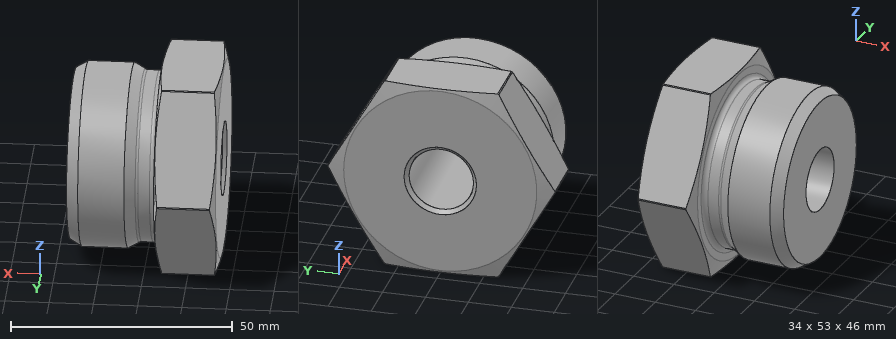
import cadquery as cq
import math

total_length = 34.0
across_flats = 46.0
corner_diameter = 52.95

head_length = 14.05
head_face_diameter = 45.0
head_chamfer_angle = 15.0

spigot_diameter = 42.05
neck_diameter = 38.9
neck_fillet = 1.15
spigot_start = 20.85
taper_angle = 30.0

bore_diameter = 15.0
bore_mouth_diameter = 16.85
bore_chamfer_angle = 45.0


def revolve_about_x(profile):
    """Turn a closed (x, radius) profile into a solid around the X axis."""
    return profile.close().revolve(360, (0, 0, 0), (1, 0, 0))


def hexagonal_head():
    """Hexagon with flats facing +Z and -Z, and both ends chamfered by a cone."""
    hexagon_diameter = across_flats / math.cos(math.radians(30))
    prism = cq.Workplane("YZ").polygon(6, hexagon_diameter).extrude(head_length)
    face_radius = head_face_diameter / 2
    corner_radius = corner_diameter / 2
    chamfer = (corner_radius - face_radius) * math.tan(math.radians(head_chamfer_angle))
    envelope = revolve_about_x(
        cq.Workplane("XY")
        .lineTo(0, face_radius)
        .lineTo(chamfer, corner_radius)
        .lineTo(head_length - chamfer, corner_radius)
        .lineTo(head_length, face_radius)
        .lineTo(head_length, 0)
    )
    return prism.intersect(envelope)


def spigot():
    """Undercut neck with fillets at both ends, then a cylinder with a tapered tip."""
    neck_radius = neck_diameter / 2
    spigot_radius = spigot_diameter / 2
    taper = math.radians(taper_angle)
    taper_length = (spigot_radius - neck_radius) / math.tan(taper)
    neck_end = spigot_start - taper_length - neck_fillet * math.tan(taper / 2)
    fillet_end = (
        neck_end + neck_fillet * math.sin(taper),
        neck_radius + neck_fillet * (1 - math.cos(taper)),
    )
    return revolve_about_x(
        cq.Workplane("XY")
        .moveTo(head_length / 2, 0)
        .lineTo(head_length / 2, neck_radius + neck_fillet)
        .lineTo(head_length, neck_radius + neck_fillet)
        .radiusArc((head_length + neck_fillet, neck_radius), -neck_fillet)
        .lineTo(neck_end, neck_radius)
        .radiusArc(fillet_end, -neck_fillet)
        .lineTo(spigot_start, spigot_radius)
        .lineTo(total_length - taper_length, spigot_radius)
        .lineTo(total_length, neck_radius)
        .lineTo(total_length, 0)
    )


def bore():
    """Through bore with a chamfered mouth in the head."""
    bore_radius = bore_diameter / 2
    mouth_radius = bore_mouth_diameter / 2
    chamfer = (mouth_radius - bore_radius) / math.tan(math.radians(bore_chamfer_angle))
    return revolve_about_x(
        cq.Workplane("XY")
        .lineTo(0, mouth_radius)
        .lineTo(chamfer, bore_radius)
        .lineTo(total_length, bore_radius)
        .lineTo(total_length, 0)
    )


result = hexagonal_head().union(spigot()).cut(bore())